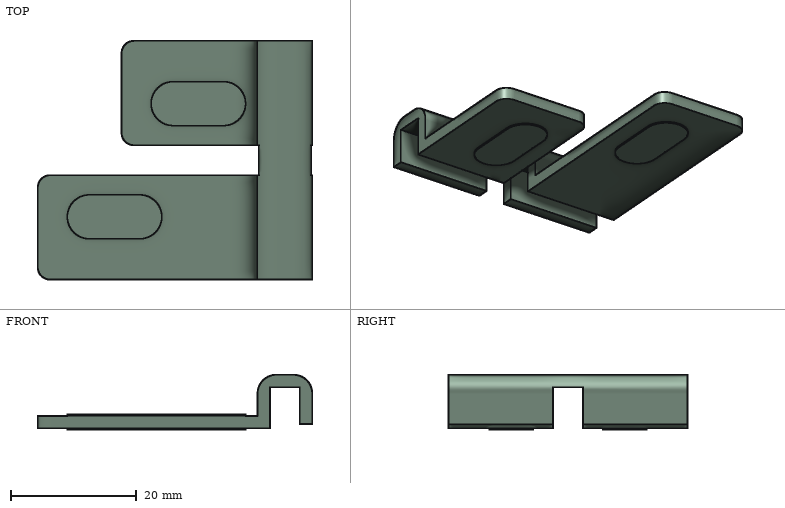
import cadquery as cq

length = 43.7
depth = 38.0
height = 8.55
thickness = 2.0
hook_opening = 4.7
hook_radius = 3.0
lip_clearance = 0.7
tab_gap = 4.7
rear_tab_setback = 13.35
corner_radius = 2.0
pad_length = 15.05
pad_width = 7.0
pad_rise = 0.2
pad_end_margin = 4.7
pad_side_offset = 10.0

tab_width = (depth - tab_gap) / 2
hook_width = hook_opening + 2 * thickness
hook_start = length - hook_width
wall_inside = hook_start + thickness
opening_top = height - thickness


def make_hook():
    """Downward-open channel with a long wall, a short lip and a rounded top."""
    blank = (
        cq.Workplane("XY")
        .box(hook_width, depth, height, centered=False)
        .translate((hook_start, 0, 0))
        .edges("|Y and >Z")
        .fillet(hook_radius)
    )
    opening = (
        cq.Workplane("XY")
        .box(hook_opening, depth, opening_top, centered=False)
        .translate((wall_inside, 0, 0))
    )
    below_lip = (
        cq.Workplane("XY")
        .box(thickness, depth, lip_clearance, centered=False)
        .translate((length - thickness, 0, 0))
    )
    wall_gap = (
        cq.Workplane("XY")
        .box(hook_width, tab_gap, opening_top, centered=False)
        .translate((hook_start, tab_width, 0))
    )
    return blank.cut(opening).cut(below_lip).cut(wall_gap)


def make_tab(x_start, y_start, pad_y):
    """Flat tab with rounded free corners and a raised oblong pad on both faces."""
    plate = (
        cq.Workplane("XY")
        .box(wall_inside - x_start, tab_width, thickness, centered=False)
        .translate((x_start, y_start, 0))
        .edges("|Z and <X")
        .fillet(corner_radius)
    )
    pad = (
        cq.Workplane("XY", origin=(0, 0, -pad_rise))
        .center(x_start + pad_end_margin + pad_length / 2, pad_y)
        .slot2D(pad_length, pad_width)
        .extrude(thickness + 2 * pad_rise)
    )
    return plate.union(pad)


front_tab = make_tab(0, 0, pad_side_offset)
rear_tab = make_tab(rear_tab_setback, depth - tab_width, depth - pad_side_offset)

result = make_hook().union(front_tab).union(rear_tab)